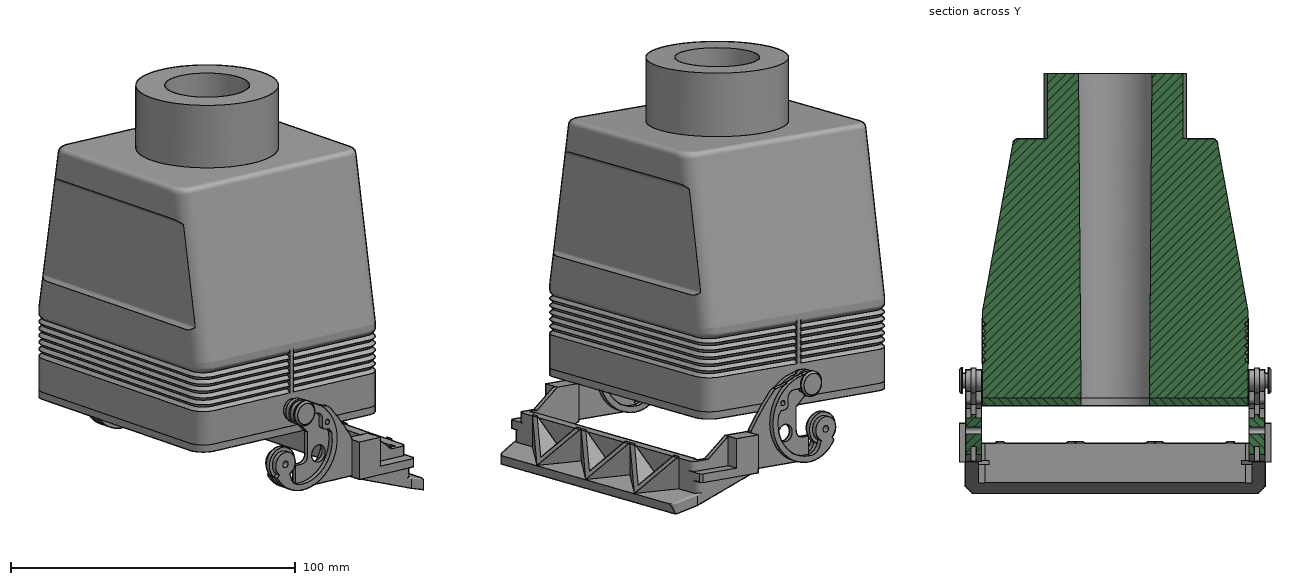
import cadquery as cq
import math

HOOD_WIDTH = 93.5
HOOD_DEPTH = 82.6
HOOD_TOP = 93.8
HOOD_TOP_WIDTH = 71.4
TAPER_START = 32.7
CORNER_RADIUS = 6.2
TOP_FILLET = 2.0
SEAL_HEIGHT = 2.7

COLLAR_RADIUS = 25.0
COLLAR_TOP = 116.7
BORE_TOP_RADIUS = 14.9
BORE_BOTTOM_RADIUS = 14.2

GROOVE_COUNT = 6
GROOVE_PITCH = 2.5
GROOVE_FLANK_ANGLE = 45
GROOVE_DEPTH = GROOVE_PITCH / 2 * math.tan(math.radians(GROOVE_FLANK_ANGLE))
GROOVES_BOTTOM = 14.9
GROOVES_TOP = GROOVES_BOTTOM + GROOVE_COUNT * GROOVE_PITCH
GROOVE_RIM_FILLET = 1.5
POST_WIDTH = 1.8

RECESS_DEPTH = 1.3
RECESS_BOTTOM = 45.1
RECESS_TOP = 81.3
RECESS_FILLET = 1.2

LEVER_CLEARANCE = 0.1
LEVER_INNER = HOOD_WIDTH / 2 + LEVER_CLEARANCE
LEVER_THICKNESS = 5.6
PLATE_THICKNESS = 1.8
PIVOT_Z = 8.8
PIVOT_PLATE_RADIUS = 4.4
PIVOT_BOSS_RADIUS = 3.8
RIVET_HEAD_RADIUS = 4.5
RIVET_HEAD_THICKNESS = 1.2
RIVET_HEAD_CHAMFER = 0.7
RIVET_STEM_RADIUS = 2.7
ARC_CENTRE_Z = -3.7
ARC_OUTER_RADIUS = 16.0
ARC_INNER_RADIUS = 13.7
CRESCENT_TOP_INNER_Z = 7.4
ROLLER_Y = -7.5
ROLLER_Z = -8.7
ROLLER_FLANGE_RADIUS = 5.8
ROLLER_RADIUS = 4.4
ROLLER_HOLE_RADIUS = 1.2
PLATE_HOLE_Y = 9.0
PLATE_HOLE_Z = -8.3
PLATE_HOLE_RADIUS = 3.1
EYELET_Y = 11.5
EYELET_Z = 3.2
EYELET_RADIUS = 0.9
PLATE_BOTTOM = -19.3
PLATE_EDGE_Y = 4.1
PLATE_TIP_Y = -1.3
PLATE_TIP_TOP = -10.8
PLATE_NOTCH_RADIUS = 2.8

HANDLE_HALF_WIDTH = 54.7
LOWER_HALF_WIDTH = 52.7
UPPER_HALF_WIDTH = 49.8
HANDLE_INNER_HALF = 48.0
HANDLE_FRONT = 24.2
BLOCK_BACK = 33.8
BLOCK_TOP = -6.0
SLOPE_END_Y = 42.8
WALL_INNER_Y = 45.4
WALL_OUTER_Y = 49.5
WALL_TOP = -13.1
LEDGE_TOP = -16.7
LEDGE_BOTTOM = -19.8
LEDGE_CORNER_CHAMFER = 0.9
HANDLE_CORNER_RADIUS = 2.2
TIP_BACK = 58.4
TIP_BOTTOM_Y = 57.2
TIP_BOTTOM_Z = -30.8
LIP_THICKNESS = 3.8
LIP_TIP_HALF_WIDTH = 49.7
LIP_CORNER_RADIUS = 3.0
LIP_EDGE_FILLET = 0.7

TOOTH_COUNT = 3
TOOTH_PITCH = 27.9
TOOTH_HALF_WIDTH = 14.0
TOOTH_TOP = -12.5
TOOTH_RIM = 2.7
POCKET_VALLEY_Z = -20.6

NOTCH_WIDTH = 2.2
NOTCH_DEPTH = 0.6
GUSSET_LEG = 3.5
GUSSET_TOP = -19.2
GUSSET_THICKNESS = 1.5


def mirrored_x(body):
    return body.mirror("YZ")


def bore():
    """Slightly conical hole through the collar, the hood and the seal."""
    return (
        cq.Workplane("XZ")
        .polyline([(0, 0), (BORE_BOTTOM_RADIUS, 0), (BORE_TOP_RADIUS, COLLAR_TOP), (0, COLLAR_TOP)])
        .close()
        .revolve(360, (0, 0, 0), (0, 1, 0))
    )


def rounded_slab(z_bottom, height, taper=0.0):
    """Block with the hood's rounded rectangular outline, optionally tapering upwards."""
    outline = cq.Sketch().rect(HOOD_WIDTH, HOOD_DEPTH)
    outline = outline.vertices().fillet(CORNER_RADIUS)
    return cq.Workplane().workplane(offset=z_bottom).placeSketch(outline).extrude(height, taper=taper)


def hood_shell():
    """House-shaped outline extruded front to back, with rounded corners and top rim."""
    half_bottom = HOOD_WIDTH / 2
    half_top = HOOD_TOP_WIDTH / 2
    shell = (
        cq.Workplane("XZ")
        .polyline(
            [
                (-half_bottom, SEAL_HEIGHT),
                (half_bottom, SEAL_HEIGHT),
                (half_bottom, TAPER_START),
                (half_top, HOOD_TOP),
                (-half_top, HOOD_TOP),
                (-half_bottom, TAPER_START),
            ]
        )
        .close()
        .extrude(HOOD_DEPTH / 2, both=True)
    )
    shell = shell.faces("<Y or >Y").edges("not #Z").fillet(CORNER_RADIUS)
    return shell.faces(">Z").edges().fillet(TOP_FILLET)


def groove(z_bottom):
    """Ring that cuts one V groove all round the hood."""
    half = GROOVE_PITCH / 2
    lower_flank = rounded_slab(z_bottom, half, taper=GROOVE_FLANK_ANGLE)
    core = lower_flank.union(lower_flank.mirror("XY", (0, 0, z_bottom + half)))
    margin = 3.0
    block = cq.Workplane().box(HOOD_WIDTH + margin, HOOD_DEPTH + margin, GROOVE_PITCH)
    return block.translate((0, 0, z_bottom + half)).cut(core)


def recess():
    """Shallow recess of the front face, with sloping ends."""
    face_y = -HOOD_DEPTH / 2
    return (
        cq.Workplane("YZ")
        .polyline(
            [
                (face_y, RECESS_BOTTOM - RECESS_DEPTH),
                (face_y + RECESS_DEPTH, RECESS_BOTTOM),
                (face_y + RECESS_DEPTH, RECESS_TOP),
                (face_y, RECESS_TOP + RECESS_DEPTH),
            ]
        )
        .close()
        .extrude(HOOD_WIDTH / 2, both=True)
        .edges("|X and >Y")
        .fillet(RECESS_FILLET)
    )


def make_hood():
    hood = hood_shell()
    for i in range(GROOVE_COUNT):
        hood = hood.cut(groove(GROOVES_BOTTOM + i * GROOVE_PITCH))
    rim = cq.selectors.BoxSelector(
        (-HOOD_WIDTH, -HOOD_DEPTH, GROOVES_TOP - GROOVE_DEPTH / 2),
        (HOOD_WIDTH, HOOD_DEPTH, GROOVES_TOP + GROOVE_DEPTH / 2),
    )
    hood = hood.edges(rim).fillet(GROOVE_RIM_FILLET)
    post = cq.Workplane().box(2 * GROOVE_DEPTH, POST_WIDTH, TAPER_START - GROOVES_BOTTOM)
    post_x = HOOD_WIDTH / 2 - GROOVE_DEPTH
    post_z = (TAPER_START + GROOVES_BOTTOM) / 2
    for side in (-1, 1):
        hood = hood.union(post.translate((side * post_x, 0, post_z)))
    hood = hood.cut(recess()).cut(recess().mirror("XZ"))
    collar = cq.Workplane(origin=(0, 0, HOOD_TOP)).circle(COLLAR_RADIUS)
    collar = collar.extrude(COLLAR_TOP - HOOD_TOP)
    return hood.union(collar).cut(bore())


def make_seal():
    return rounded_slab(0, SEAL_HEIGHT).cut(bore())


def disc(x_start, thickness, radius, y, z):
    return cq.Workplane("YZ", origin=(x_start, y, z)).circle(radius).extrude(thickness)


def crescent(x_start, thickness):
    """Curved arm from the pivot round to the roller, widened round the eyelet."""
    arm_end = (-11.2, -13.1)
    hook_start = (-5.0, -13.9)
    inner_start = (PLATE_TIP_Y, ARC_CENTRE_Z - math.sqrt(ARC_INNER_RADIUS**2 - PLATE_TIP_Y**2))
    diagonal = ARC_INNER_RADIUS * math.sqrt(0.5)
    inner_middle = (diagonal, ARC_CENTRE_Z - diagonal)
    inner_end_z = -0.9
    inner_end = (math.sqrt(ARC_INNER_RADIUS**2 - (inner_end_z - ARC_CENTRE_Z) ** 2), inner_end_z)
    return (
        cq.Workplane("YZ", origin=(x_start, 0, 0))
        .moveTo(0, ARC_CENTRE_Z + ARC_OUTER_RADIUS)
        .threePointArc((ARC_OUTER_RADIUS, ARC_CENTRE_Z), (0, ARC_CENTRE_Z - ARC_OUTER_RADIUS))
        .threePointArc((-6.6, -17.7), arm_end)
        .lineTo(ROLLER_Y, ROLLER_Z)
        .lineTo(*hook_start)
        .threePointArc((-3.5, -16.4), inner_start)
        .threePointArc(inner_middle, inner_end)
        .lineTo(12.2, 0.6)
        .lineTo(10.6, 0.7)
        .threePointArc((9.6, 1.3), (9.3, 2.4))
        .lineTo(9.3, 4.4)
        .threePointArc((8.5, 6.5), (6.6, CRESCENT_TOP_INNER_Z))
        .lineTo(0, CRESCENT_TOP_INNER_Z)
        .close()
        .extrude(thickness)
    )


def web(x_start):
    """Flat part of the plate between the crescent and the handle."""
    return (
        cq.Workplane("YZ", origin=(x_start, 0, 0))
        .moveTo(HANDLE_FRONT, PLATE_BOTTOM)
        .lineTo(HANDLE_FRONT, -5.5)
        .threePointArc((19.0, 1.9), (14.3, 7.5))
        .lineTo(13.3, 8.3)
        .lineTo(0, 11.4)
        .lineTo(0, 4.4)
        .lineTo(PLATE_EDGE_Y, 0.5)
        .lineTo(PLATE_EDGE_Y, PLATE_TIP_TOP + PLATE_NOTCH_RADIUS)
        .radiusArc((PLATE_EDGE_Y - PLATE_NOTCH_RADIUS, PLATE_TIP_TOP), PLATE_NOTCH_RADIUS)
        .lineTo(PLATE_TIP_Y, PLATE_TIP_TOP)
        .lineTo(PLATE_TIP_Y, PLATE_BOTTOM)
        .close()
        .extrude(PLATE_THICKNESS)
    )


def make_lever():
    """Lever of the +X side: a plate between two crescent cheeks, with its rivet and roller."""
    cheek = (LEVER_THICKNESS - PLATE_THICKNESS) / 2
    plate_x = LEVER_INNER + cheek
    head_x = HANDLE_HALF_WIDTH - RIVET_HEAD_THICKNESS
    lever = web(plate_x).union(crescent(LEVER_INNER, cheek))
    lever = lever.union(crescent(plate_x + PLATE_THICKNESS, cheek))
    lever = lever.union(disc(LEVER_INNER, LEVER_THICKNESS, PIVOT_BOSS_RADIUS, 0, PIVOT_Z))
    lever = lever.union(disc(plate_x, PLATE_THICKNESS, PIVOT_PLATE_RADIUS, 0, PIVOT_Z))
    lever = lever.union(disc(LEVER_INNER, LEVER_THICKNESS, ROLLER_RADIUS, ROLLER_Y, ROLLER_Z))
    lever = lever.union(disc(plate_x, PLATE_THICKNESS, ROLLER_FLANGE_RADIUS, ROLLER_Y, ROLLER_Z))
    lever = lever.union(disc(HOOD_WIDTH / 2, head_x - HOOD_WIDTH / 2, RIVET_STEM_RADIUS, 0, PIVOT_Z))
    head = disc(head_x, RIVET_HEAD_THICKNESS, RIVET_HEAD_RADIUS, 0, PIVOT_Z)
    lever = lever.union(head.faces(">X").chamfer(RIVET_HEAD_CHAMFER))
    for radius, y, z in (
        (ROLLER_HOLE_RADIUS, ROLLER_Y, ROLLER_Z),
        (PLATE_HOLE_RADIUS, PLATE_HOLE_Y, PLATE_HOLE_Z),
        (EYELET_RADIUS, EYELET_Y, EYELET_Z),
    ):
        lever = lever.cut(disc(LEVER_INNER, LEVER_THICKNESS, radius, y, z))
    return lever


TILT = math.atan2(LEDGE_BOTTOM - TIP_BOTTOM_Z, TIP_BOTTOM_Y - HANDLE_FRONT)


def underside_z(y):
    """Height of the sloping underside of the handle."""
    return LEDGE_BOTTOM - (y - HANDLE_FRONT) * math.tan(TILT)


def lip_top_z(y):
    return underside_z(y) + LIP_THICKNESS / math.cos(TILT)


def prism(points, half_width):
    """A (Y, Z) outline extruded evenly to both sides of X = 0."""
    return cq.Workplane("YZ").polyline(points).close().extrude(half_width, both=True)


def bow():
    """U-shaped frame: two arms with end blocks and ledges, joined by the back wall."""
    upper = prism(
        [
            (HANDLE_FRONT, LEDGE_BOTTOM),
            (HANDLE_FRONT, BLOCK_TOP),
            (BLOCK_BACK, BLOCK_TOP),
            (SLOPE_END_Y, WALL_TOP),
            (WALL_OUTER_Y, WALL_TOP),
            (WALL_OUTER_Y, LEDGE_BOTTOM),
        ],
        UPPER_HALF_WIDTH,
    )
    lower = prism(
        [
            (HANDLE_FRONT, LEDGE_BOTTOM),
            (WALL_OUTER_Y, LEDGE_BOTTOM),
            (WALL_OUTER_Y, underside_z(WALL_OUTER_Y)),
        ],
        LOWER_HALF_WIDTH,
    )
    ledges = prism(
        [
            (HANDLE_FRONT, LEDGE_BOTTOM),
            (HANDLE_FRONT, BLOCK_TOP),
            (BLOCK_BACK, BLOCK_TOP),
            (BLOCK_BACK, LEDGE_TOP),
            (WALL_OUTER_Y, LEDGE_TOP),
            (WALL_OUTER_Y, LEDGE_BOTTOM),
        ],
        HANDLE_HALF_WIDTH,
    )
    upper = upper.edges("|Z and >Y").fillet(HANDLE_CORNER_RADIUS)
    lower = lower.edges("|Z and >Y").fillet(HANDLE_CORNER_RADIUS)
    ledges = ledges.edges("|Z and >Y").chamfer(LEDGE_CORNER_CHAMFER)
    opening = prism(
        [(0, 0), (WALL_INNER_Y, 0), (WALL_INNER_Y, TIP_BOTTOM_Z), (0, TIP_BOTTOM_Z)],
        HANDLE_INNER_HALF,
    )
    return upper.union(lower).union(ledges).cut(opening)


def lip():
    """Sloping finger lip behind the back wall, narrowing towards its rounded tip."""
    root_y = WALL_OUTER_Y - HANDLE_CORNER_RADIUS
    profile = prism(
        [
            (root_y, underside_z(root_y)),
            (TIP_BOTTOM_Y, TIP_BOTTOM_Z),
            (
                TIP_BOTTOM_Y + LIP_THICKNESS * math.sin(TILT),
                TIP_BOTTOM_Z + LIP_THICKNESS * math.cos(TILT),
            ),
            (root_y, lip_top_z(root_y)),
        ],
        HANDLE_HALF_WIDTH,
    )
    plan = (
        cq.Workplane()
        .polyline(
            [
                (-LOWER_HALF_WIDTH, root_y),
                (-LOWER_HALF_WIDTH, WALL_OUTER_Y),
                (-LIP_TIP_HALF_WIDTH, TIP_BACK),
                (LIP_TIP_HALF_WIDTH, TIP_BACK),
                (LOWER_HALF_WIDTH, WALL_OUTER_Y),
                (LOWER_HALF_WIDTH, root_y),
            ]
        )
        .close()
        .extrude(TIP_BOTTOM_Z)
        .edges("|Z and >Y")
        .fillet(LIP_CORNER_RADIUS)
    )
    return profile.intersect(plan).faces(">Z").edges("not <Y").fillet(LIP_EDGE_FILLET)


def tetrahedron(a, b, c, d):
    corners = [cq.Vector(*p) for p in (a, b, c, d)]
    faces = []
    for skipped in range(4):
        rim = [p for i, p in enumerate(corners) if i != skipped]
        faces.append(cq.Face.makeFromWires(cq.Wire.makePolygon(rim, close=True)))
    return cq.Workplane(cq.Solid.makeSolid(cq.Shell.makeShell(faces)))


def tooth():
    """Triangular rib from the wall top to the lip tip, hollowed to a V inside its rim."""
    tip_z = lip_top_z(TIP_BACK)
    fall = (TOOTH_TOP - tip_z) / (TIP_BACK - WALL_OUTER_Y)
    profile = prism(
        [(WALL_OUTER_Y, TOOTH_TOP), (TIP_BACK, tip_z), (WALL_OUTER_Y, lip_top_z(WALL_OUTER_Y))],
        TOOTH_HALF_WIDTH,
    )
    plan = (
        cq.Workplane()
        .polyline([(-TOOTH_HALF_WIDTH, WALL_OUTER_Y), (TOOTH_HALF_WIDTH, WALL_OUTER_Y), (0, TIP_BACK)])
        .close()
        .extrude(TIP_BOTTOM_Z)
    )
    pocket_half = TOOTH_HALF_WIDTH - TOOTH_RIM
    pocket_tip_y = WALL_OUTER_Y + (TIP_BACK - WALL_OUTER_Y) * pocket_half / TOOTH_HALF_WIDTH
    pocket = tetrahedron(
        (-pocket_half, WALL_OUTER_Y, TOOTH_TOP),
        (pocket_half, WALL_OUTER_Y, TOOTH_TOP),
        (0, pocket_tip_y, TOOTH_TOP - fall * (pocket_tip_y - WALL_OUTER_Y)),
        (0, WALL_OUTER_Y, POCKET_VALLEY_Z),
    )
    return profile.intersect(plan).cut(pocket)


def corner_notch():
    """Shallow notch of the back wall beside the +X arm."""
    height = WALL_TOP - TIP_BOTTOM_Z
    block = cq.Workplane().box(NOTCH_WIDTH, NOTCH_DEPTH, height, centered=False)
    return block.translate((HANDLE_INNER_HALF - NOTCH_WIDTH, WALL_INNER_Y, TIP_BOTTOM_Z))


def gusset():
    """Small triangular web in the corner between the +X arm and the back wall."""
    corner_y = WALL_INNER_Y + NOTCH_DEPTH
    return (
        cq.Workplane(origin=(0, 0, GUSSET_TOP))
        .polyline(
            [
                (HANDLE_INNER_HALF, corner_y),
                (HANDLE_INNER_HALF - GUSSET_LEG, corner_y),
                (HANDLE_INNER_HALF - GUSSET_LEG, WALL_INNER_Y),
                (HANDLE_INNER_HALF, WALL_INNER_Y - GUSSET_LEG),
            ]
        )
        .close()
        .extrude(-GUSSET_THICKNESS)
    )


def make_handle():
    handle = bow().union(lip())
    for i in range(TOOTH_COUNT):
        offset = (i - (TOOTH_COUNT - 1) / 2) * TOOTH_PITCH
        handle = handle.union(tooth().translate((offset, 0, 0)))
    handle = handle.cut(corner_notch()).cut(mirrored_x(corner_notch()))
    return handle.union(gusset()).union(mirrored_x(gusset()))


hood = make_hood()
seal = make_seal()
handle = make_handle()
levers = []
for side_lever in (make_lever(), mirrored_x(make_lever())):
    levers.append(side_lever.val())

result = cq.Compound.makeCompound([hood.val(), seal.val(), handle.val(), *levers])